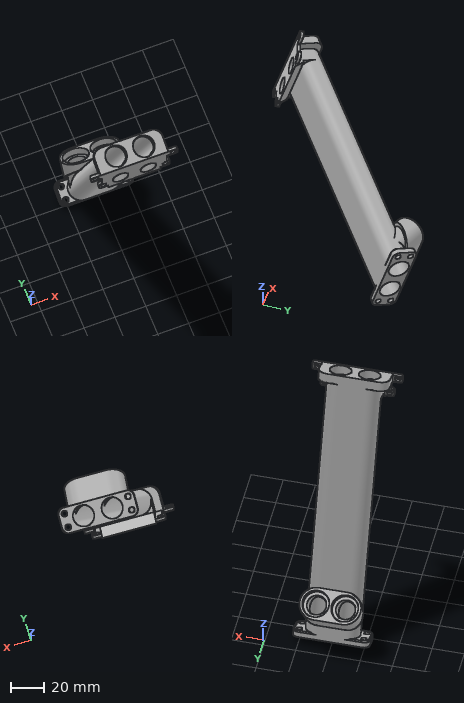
import cadquery as cq
import math

LEAN = 20.0
PORT_LEAN = 35.0

PITCH = 18.0
TUBE_OD = 16.0
TUBE_BORE = 13.0
TUBE_LENGTH = 177.7
TUBE_R = TUBE_OD / 2
TUBE_WIDTH = PITCH + TUBE_OD

FLANGE_WIDTH = 47.5
FLANGE_THICKNESS = 4.2
FLANGE_CORNER = 4.0
FLANGE_CHAMFER = 0.8
FLANGE_HOLE = 3.5
FLANGE_HOLE_SPAN_X = 40.0
FLANGE_HOLE_SPAN_Y = 8.5

PORT_OD = 20.0
PORT_SOCKET = 16.5
PORT_SOCKET_DEPTH = 4.5
PORT_BORE = 12.0
PORT_LENGTH = 21.4
PORT_HEIGHT = 16.4

HEAD_WIDTH = 44.0
HEAD_THICKNESS = 6.0
HEAD_CORNER = 6.0
HEAD_SOCKET = 13.3
HEAD_SOCKET_DEPTH = HEAD_THICKNESS
NECK_DEPTH = 15.0

PLATE_THICKNESS = 2.0
PLATE_WIDTH = 42.0
PLATE_BOTTOM = 20.85
UPPER_LUG_HEIGHT = 5.5
LOWER_LUG_HEIGHT = 6.0
UPPER_LUG_CORNER = 1.5
LOWER_LUG_CORNER = 2.0
LUG_HOLE = 3.5
UPPER_LUG_X = 25.0
LOWER_LUG_X = 20.0
LUG_REACH = 3.0
LOWER_LUG_DROP = 15.3
INLET_DIAMETER = 10.0
INLET_DROP = 12.75
INLET_RISE = 40.0
INLET_RUN = 10.0

SIN_LEAN = math.sin(math.radians(LEAN))
COS_LEAN = math.cos(math.radians(LEAN))
CHANNELS = [(-PITCH / 2, 0), (PITCH / 2, 0)]

TUBE_TOP = cq.Plane.XY((0, 0, TUBE_LENGTH))

FRONT = cq.Plane(
    origin=(0, -TUBE_R, TUBE_LENGTH),
    xDir=(1, 0, 0),
    normal=(0, -COS_LEAN, SIN_LEAN),
)

PORT_TILT = math.radians(LEAN + PORT_LEAN)
PORT_AXIS = (0, math.sin(PORT_TILT), math.cos(PORT_TILT))
PORT_MOUTH = cq.Plane(
    origin=(0, PORT_LENGTH * PORT_AXIS[1], PORT_HEIGHT + PORT_LENGTH * PORT_AXIS[2]),
    xDir=(1, 0, 0),
    normal=PORT_AXIS,
)


def front_y(depth):
    """Y of the front face at a depth below the tube top."""
    return -TUBE_R - depth * SIN_LEAN / COS_LEAN


def twin_oval(plane, diameter, length):
    """Oval bar wrapping both channels."""
    return cq.Workplane(plane).slot2D(PITCH + diameter, diameter).extrude(length)


def twin_holes(plane, diameter, length):
    """Pair of round cutters, one on each channel."""
    return cq.Workplane(plane).pushPoints(CHANNELS).circle(diameter / 2).extrude(length)


def base_flange():
    """Rounded plate at the tube foot with a chamfered upper rim and four screw holes."""
    hole_x = FLANGE_HOLE_SPAN_X / 2
    hole_y = FLANGE_HOLE_SPAN_Y / 2
    holes = [(x, y) for x in (-hole_x, hole_x) for y in (-hole_y, hole_y)]
    return (
        cq.Workplane("XY")
        .rect(FLANGE_WIDTH, TUBE_OD)
        .extrude(FLANGE_THICKNESS)
        .edges("|Z")
        .fillet(FLANGE_CORNER)
        .faces(">Z")
        .chamfer(FLANGE_CHAMFER)
        .cut(cq.Workplane("XY").pushPoints(holes).circle(FLANGE_HOLE / 2).extrude(FLANGE_THICKNESS))
    )


def port():
    """Branch as wide as the tube, with a thicker sleeve that stops at the plane of the tube's back."""
    core = twin_oval(PORT_MOUTH, TUBE_OD, -PORT_LENGTH)
    sleeve = twin_oval(PORT_MOUTH, PORT_OD, -2 * PORT_LENGTH)
    back_plane = cq.Workplane("XZ", origin=(0, TUBE_R, 0))
    behind_tube = back_plane.rect(2 * TUBE_WIDTH, TUBE_LENGTH).extrude(-2 * PORT_LENGTH)
    return core.union(sleeve.intersect(behind_tube))


def side_profile(points, width):
    """Prism spanning X symmetrically from a (y, depth below tube top) outline."""
    outline = [(y, TUBE_LENGTH - depth) for y, depth in points]
    return cq.Workplane("YZ").polyline(outline).close().extrude(width / 2, both=True)


def head():
    """Wide cap at the tube top over a neck that reaches forward to the vertical face."""
    cap = side_profile(
        [
            (TUBE_R, 0),
            (-TUBE_R, 0),
            (front_y(HEAD_THICKNESS), HEAD_THICKNESS),
            (TUBE_R, HEAD_THICKNESS),
        ],
        HEAD_WIDTH,
    )
    cap = cap.edges("|Z and >Y").fillet(HEAD_CORNER)
    plate_bottom_depth = PLATE_BOTTOM * COS_LEAN
    gusset_foot = PLATE_BOTTOM / (COS_LEAN + SIN_LEAN)
    neck = side_profile(
        [
            (0, HEAD_THICKNESS),
            (front_y(HEAD_THICKNESS), HEAD_THICKNESS),
            (front_y(plate_bottom_depth), plate_bottom_depth),
            (-TUBE_R, gusset_foot),
            (-TUBE_R, NECK_DEPTH),
            (0, NECK_DEPTH),
        ],
        TUBE_WIDTH,
    )
    return cap.union(neck)


def lug_pair(hole_x, drop, height, corner):
    """Bar with rounded corners whose ends form a pair of lugs."""
    bar = (
        cq.Sketch()
        .rect(2 * (hole_x + LUG_REACH), height)
        .vertices()
        .fillet(corner)
    )
    return cq.Workplane(FRONT).center(0, -drop).placeSketch(bar).extrude(-PLATE_THICKNESS)


def mounting_plate():
    """Thin plate on the front face carrying four screw lugs."""
    web = (
        cq.Workplane(FRONT)
        .center(0, -LOWER_LUG_DROP / 2)
        .rect(PLATE_WIDTH, LOWER_LUG_DROP)
        .extrude(-PLATE_THICKNESS)
    )
    upper_lugs = lug_pair(UPPER_LUG_X, UPPER_LUG_HEIGHT / 2, UPPER_LUG_HEIGHT, UPPER_LUG_CORNER)
    lower_lugs = lug_pair(LOWER_LUG_X, LOWER_LUG_DROP, LOWER_LUG_HEIGHT, LOWER_LUG_CORNER)
    upper_holes = [(x, -UPPER_LUG_HEIGHT / 2) for x in (-UPPER_LUG_X, UPPER_LUG_X)]
    lower_holes = [(x, -LOWER_LUG_DROP) for x in (-LOWER_LUG_X, LOWER_LUG_X)]
    screw_holes = (
        cq.Workplane(FRONT)
        .pushPoints(upper_holes + lower_holes)
        .circle(LUG_HOLE / 2)
        .extrude(-PLATE_THICKNESS)
    )
    return web.union(upper_lugs).union(lower_lugs).cut(screw_holes)


def inlet(x):
    """Passage round at the front face, climbing inwards to its channel."""
    rise = INLET_RUN * math.tan(math.radians(INLET_RISE))
    inwards = FRONT.zDir * -INLET_RUN + FRONT.yDir * rise
    mouth = cq.Wire.makeCircle(
        INLET_DIAMETER / 2, FRONT.toWorldCoords((x, -INLET_DROP)), FRONT.zDir
    )
    return cq.Solid.extrudeLinear(cq.Face.makeFromWires(mouth), inwards)


body = twin_oval("XY", TUBE_OD, TUBE_LENGTH)
for feature in (base_flange(), port(), head(), mounting_plate()):
    body = body.union(feature)

body = body.cut(twin_holes("XY", TUBE_BORE, TUBE_LENGTH))
body = body.cut(twin_holes(TUBE_TOP, HEAD_SOCKET, -HEAD_SOCKET_DEPTH))
body = body.cut(twin_holes(PORT_MOUTH, PORT_SOCKET, -PORT_SOCKET_DEPTH))
body = body.cut(twin_holes(PORT_MOUTH, PORT_BORE, -PORT_LENGTH))
for channel_x, _ in CHANNELS:
    body = body.cut(cq.Workplane(inlet(channel_x)))

result = body.rotate((0, 0, 0), (1, 0, 0), LEAN)